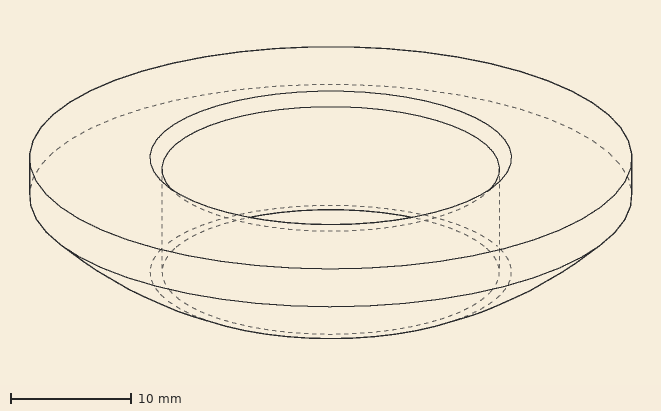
import cadquery as cq
import math

outer_radius = 25.0
bore_radius = 14.0
bottom_radius = 15.0
total_height = 10.2
sphere_radius = 36.0
chamfer = 1.0

sphere_center_z = math.sqrt(sphere_radius**2 - bottom_radius**2)


def sphere_height(radius):
    """Height of the spherical seat at a given distance from the axis."""
    return sphere_center_z - math.sqrt(sphere_radius**2 - radius**2)


middle_radius = (bottom_radius + outer_radius) / 2

section = (
    cq.Workplane("XZ")
    .moveTo(bore_radius, 0)
    .lineTo(bottom_radius, 0)
    .threePointArc(
        (middle_radius, sphere_height(middle_radius)),
        (outer_radius, sphere_height(outer_radius)),
    )
    .lineTo(outer_radius, total_height)
    .lineTo(bore_radius + chamfer, total_height)
    .lineTo(bore_radius, total_height - chamfer)
    .close()
)

result = section.revolve(360, (0, 0, 0), (0, 1, 0))